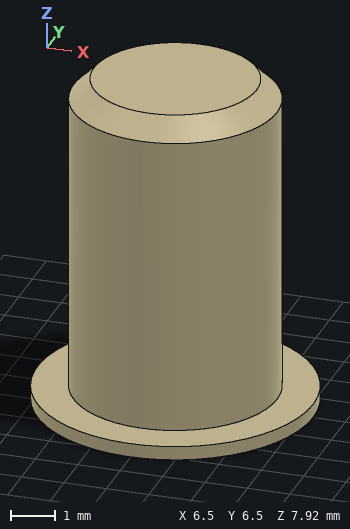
import cadquery as cq

total_height = 7.92
flange_diameter = 6.5
flange_thickness = 0.33
body_diameter = 4.8
tip_chamfer = 0.48

flange = cq.Workplane("XY").circle(flange_diameter / 2).extrude(flange_thickness)

body = (
    cq.Workplane("XY")
    .circle(body_diameter / 2)
    .extrude(total_height)
    .faces(">Z")
    .edges()
    .chamfer(tip_chamfer)
)

result = flange.union(body)